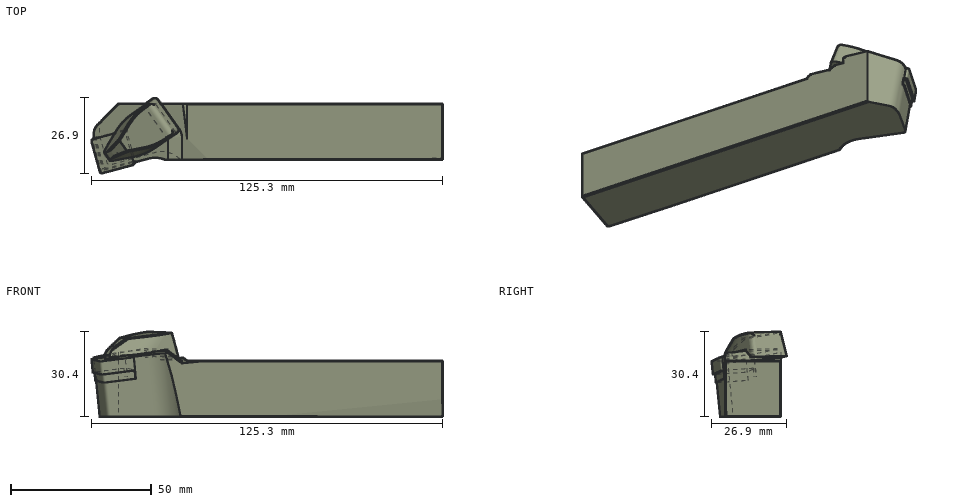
import cadquery as cq
import math

tool_length = 125.2
shank_size = 20.0
shank_chamfer = 0.4
head_end = 34.1
shank_start = 23.7

tilt_slope = 0.1
reach = 75.1


def tilted_plane(x, y, heading, height=0.0):
    """Plane parallel to the head top, above plan point (x, y), with its x axis turned by heading."""
    turn = math.radians(heading)
    along = (math.cos(turn), math.sin(turn), tilt_slope * (math.cos(turn) + math.sin(turn)))
    normal = cq.Vector(-tilt_slope, -tilt_slope, 1).normalized()
    origin = cq.Vector(x, y, shank_size + tilt_slope * (x + y)) + normal * height
    return cq.Plane(origin=origin, xDir=along, normal=normal)


insert_heading = 15.0
insert_tip = (3.1, -5.0)
insert_side = 12.6
insert_thickness = 4.8
insert_corner_radius = 0.81
insert_drop = 0.1
shim_thickness = 3.0
shim_inset = 0.6
nose_front_inset = 0.8
nose_side_inset = 0.9

insert_bottom = -insert_drop - insert_thickness
shim_bottom = insert_bottom - shim_thickness

head_facet_x = 0.9
head_chamfer_start = (9.8, 20.0)
nose_corner_radius = 1.19
facet_blend_radius = 4.4
side_blend_radius = 6.3
relief_start_x = 20.4
relief_radius = 9.3
relief_exit_angle = 50.0
step_depth = 4.1
step_angle = 48.0
step_foot_x = 32.0
step_corner_y = 9.3
step_corner_radius = 5.0
head_rise = 5.0
back_slope = 0.72

clamp_heading = 35.0
clamp_nose = (5.6, 1.3)
clamp_height = 6.4
clamp_gap = 0.5
pad_length = 3.8
pad_width = 3.0
tail_depth = 2.8
tail_start = 21.3
flank_angle = 24.0
clamp_rear_corner = 1.5
clamp_rear_fillet = 4.4 / 2
clamp_edge_chamfer = 0.4
clamp_rear_wall = 25.3
flank_bend = 4.1
clamp_lower_section = (-2.8, 2.5, 26.3, 7.5)
clamp_upper_section = (2.9, 0.4, 24.9, 6.9)
nose_facets = [(0, 1.4), (1.3, 2.9), (6.1, clamp_height)]
nose_slope_top = 7.8
nose_slope_angle = 26.0


def block(x_range, y_range, z_range):
    """Box between the given limits."""
    lengths = [high - low for low, high in (x_range, y_range, z_range)]
    corner = (x_range[0], y_range[0], z_range[0])
    return cq.Workplane("XY").box(*lengths, centered=False).translate(corner)


def rounded_plate(inset, top, thickness):
    """Square plate in the pocket corner, its two outer sides behind the insert edges by inset."""
    side = insert_side - inset
    middle = inset + side / 2
    plane = tilted_plane(*insert_tip, insert_heading, top)
    outline = cq.Sketch().rect(side, side).vertices().fillet(insert_corner_radius)
    return cq.Workplane(plane).center(middle, middle).placeSketch(outline).extrude(-thickness)


def make_pocket():
    """Cutter down to the shim seat, with its walls along the two inner sides of the insert."""
    plane = tilted_plane(*insert_tip, insert_heading, shim_bottom)
    corner = insert_side - reach
    return (cq.Workplane(plane).center(corner, corner).rect(reach, reach, centered=False)
            .extrude(reach))


def make_head_outline(top):
    """Head prism square to the seat, from below the underside up to the given height."""
    turn = math.radians(insert_heading)
    front_slope = math.tan(turn)
    tip_x = insert_tip[0] + nose_side_inset * math.cos(turn) - nose_front_inset * math.sin(turn)
    tip_y = insert_tip[1] + nose_side_inset * math.sin(turn) + nose_front_inset * math.cos(turn)
    facet_y = tip_y + (tip_x - head_facet_x) / front_slope
    chamfer_y = head_chamfer_start[1] - head_chamfer_start[0] + head_facet_x
    relief_y = tip_y + (relief_start_x - tip_x) * front_slope

    center_x = relief_start_x + relief_radius * math.sin(turn)
    center_y = relief_y - relief_radius * math.cos(turn)
    leave = math.radians(relief_exit_angle)
    relief_end = (center_x + relief_radius * math.sin(leave),
                  center_y + relief_radius * math.cos(leave))
    relief_top = (center_x, center_y + relief_radius)

    plane = tilted_plane(0, 0, 0, top)
    prism = (
        cq.Workplane(plane)
        .moveTo(head_facet_x, chamfer_y)
        .lineTo(head_facet_x, facet_y)
        .lineTo(tip_x, tip_y)
        .lineTo(relief_start_x, relief_y)
        .threePointArc(relief_top, relief_end)
        .lineTo(2 * tool_length, relief_end[1])
        .lineTo(2 * tool_length, 2 * tool_length)
        .lineTo(head_facet_x + 2 * tool_length - chamfer_y, 2 * tool_length)
        .close()
        .extrude(-reach)
    )
    rounded_corners = (
        (head_facet_x, chamfer_y, facet_blend_radius),
        (head_facet_x, facet_y, side_blend_radius),
        (tip_x, tip_y, nose_corner_radius),
    )
    for x, y, radius in rounded_corners:
        middle = plane.toWorldCoords((x, y, -reach / 2))
        prism = prism.edges(cq.selectors.NearestToPointSelector(middle)).fillet(radius)
    return prism


def make_raised_step():
    """Upper part of the head, bounded behind by the sloping step wall that the clamp tail rests on."""
    turn = math.radians(clamp_heading)
    back_x = step_foot_x - reach * math.sin(turn)
    back_y = step_corner_y + reach * math.cos(turn)
    plane = tilted_plane(0, 0, 0, -step_depth)
    outline = (
        cq.Sketch()
        .polygon([(step_foot_x, -reach), (step_foot_x, step_corner_y), (back_x, back_y),
                  (-reach, back_y), (-reach, -reach), (step_foot_x, -reach)])
        .vertices(cq.selectors.NearestToPointSelector((step_foot_x, step_corner_y)))
        .fillet(step_corner_radius)
    )
    return cq.Workplane(plane).placeSketch(outline).extrude(step_depth, taper=step_angle)


def make_shank():
    """Square bar with chamfered edges, full height."""
    bar = block((shank_start, tool_length), (0, shank_size), (0, shank_size))
    return bar.edges("|X or >X").chamfer(shank_chamfer)


def make_head_limits():
    """Space that the head may fill: the block below the front face and the slope to the shank."""
    head_top = shank_size + head_rise
    slope_x = head_end - (head_top - shank_size) / back_slope
    front = block((-shank_size, shank_start), (-shank_size, shank_size), (0, head_top))
    front = front.edges("|X and >Y and <Z").chamfer(shank_chamfer)
    slope = (
        cq.Workplane("XZ")
        .moveTo(shank_start, shank_size / 2)
        .lineTo(head_end, shank_size / 2)
        .lineTo(head_end, shank_size)
        .lineTo(slope_x, head_top)
        .lineTo(shank_start, head_top)
        .close()
        .extrude(-shank_size)
    )
    return front.union(slope)


def draw_clamp_section(height, nose, nose_half, rear, rear_half):
    """Wire of the clamp at a height above the head top: straight flanks that curve parallel to the axis."""
    angle = math.radians(flank_angle)
    crossing = nose + (rear_half - nose_half) / math.tan(angle)
    bend_x = crossing - flank_bend * math.cos(angle)
    bend_y = rear_half - flank_bend * math.sin(angle)
    bend_radius = flank_bend / math.tan(angle / 2)
    straight_x = crossing + flank_bend
    middle_x = straight_x - bend_radius * math.sin(angle / 2)
    middle_y = rear_half - bend_radius * (1 - math.cos(angle / 2))
    corner = clamp_rear_corner
    cut = corner * (1 - math.sqrt(0.5))
    return (
        cq.Workplane(tilted_plane(*clamp_nose, clamp_heading, height))
        .moveTo(nose, nose_half)
        .lineTo(bend_x, bend_y)
        .threePointArc((middle_x, middle_y), (straight_x, rear_half))
        .lineTo(rear - corner, rear_half)
        .threePointArc((rear - cut, rear_half - cut), (rear, rear_half - corner))
        .lineTo(rear, corner - rear_half)
        .threePointArc((rear - cut, cut - rear_half), (rear - corner, -rear_half))
        .lineTo(straight_x, -rear_half)
        .threePointArc((middle_x, -middle_y), (bend_x, -bend_y))
        .lineTo(nose, -nose_half)
        .close()
        .wires().val()
    )


def make_clamp():
    """Clamp with drafted sides, cut to its sloping nose, rounded rear, raised underside and tail."""
    axis_plane = tilted_plane(*clamp_nose, clamp_heading)
    side_plane = cq.Plane(origin=axis_plane.origin, xDir=axis_plane.xDir, normal=-axis_plane.yDir)

    lower = draw_clamp_section(-tail_depth, *clamp_lower_section)
    upper = draw_clamp_section(clamp_height, *clamp_upper_section)
    body = cq.Workplane(cq.Solid.makeLoft([lower, upper], True))

    slope = math.radians(nose_slope_angle)
    nose_slope_run = clamp_height / math.tan(slope)
    above_nose = (
        cq.Workplane(side_plane)
        .polyline([(nose_slope_top - 2 * nose_slope_run, -clamp_height),
                   (nose_slope_top + nose_slope_run, 2 * clamp_height),
                   (-reach, 2 * clamp_height),
                   (-reach, -clamp_height)])
        .close()
        .extrude(reach, both=True)
    )
    body = body.cut(above_nose)
    nose_normal = axis_plane.zDir * math.cos(slope) - axis_plane.xDir * math.sin(slope)
    upper_faces = (cq.selectors.DirectionMinMaxSelector(axis_plane.zDir)
                   + cq.selectors.ParallelDirSelector(nose_normal))
    flank_edges = -cq.selectors.ParallelDirSelector(axis_plane.yDir)
    body = body.faces(upper_faces).edges(flank_edges).chamfer(clamp_edge_chamfer)

    fillet_x = clamp_rear_wall - clamp_rear_fillet
    fillet_z = clamp_height - clamp_rear_fillet
    diagonal = clamp_rear_fillet * math.sqrt(0.5)
    side_profile = (
        cq.Workplane(side_plane)
        .polyline([(tail_start, -tail_depth), (tail_start, clamp_gap), (0, clamp_gap),
                   *nose_facets, (fillet_x, clamp_height)])
        .threePointArc((fillet_x + diagonal, fillet_z + diagonal), (clamp_rear_wall, fillet_z))
        .lineTo(clamp_rear_wall + clamp_rear_fillet, -tail_depth)
        .close()
        .extrude(reach, both=True)
    )
    body = body.intersect(side_profile)

    pad_plane = tilted_plane(*clamp_nose, clamp_heading, -insert_drop)
    pad = (cq.Workplane(pad_plane).center(pad_length / 2, 0).rect(pad_length, pad_width)
           .extrude(clamp_gap + insert_drop))
    return body.union(pad)


def make_holder():
    """Tool holder with its shim and clamp, as one body."""
    lower_head = make_head_outline(-step_depth)
    raised_head = make_head_outline(0).intersect(make_raised_step())
    stock = make_shank().union(make_head_limits())
    holder = lower_head.union(raised_head).intersect(stock)
    shim = rounded_plate(shim_inset, insert_bottom, shim_thickness)
    return holder.cut(make_pocket()).union(shim).union(make_clamp())


holder = make_holder()
insert = rounded_plate(0, -insert_drop, insert_thickness)

result = cq.Compound.makeCompound([holder.solids().val(), insert.solids().val()])